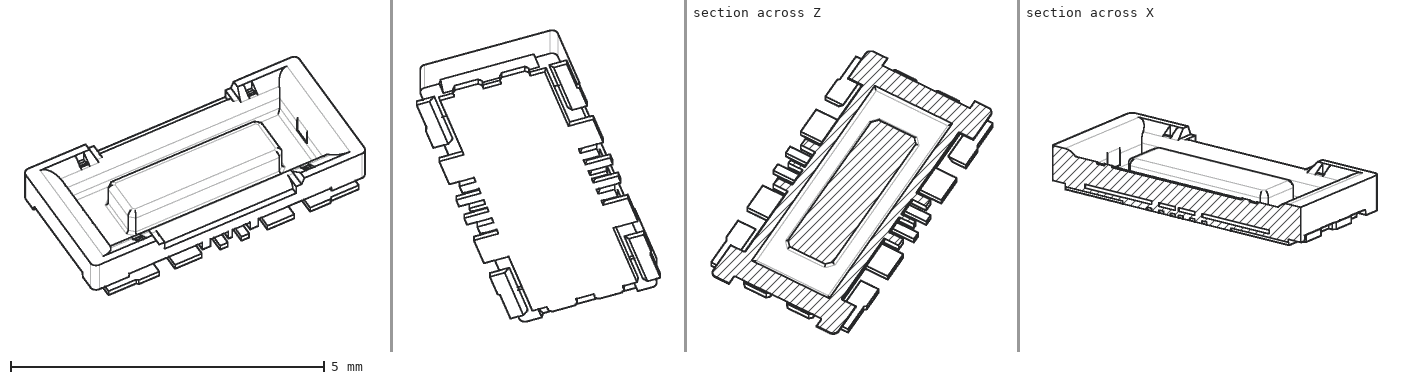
import cadquery as cq
import math

BODY_X = 2.32
BODY_Y = 5.0
HEIGHT = 0.7
SKIRT_Z = 0.1
CORNER_RADIUS = 0.1
HALF_X = BODY_X / 2
HALF_Y = BODY_Y / 2

BASE_BOTTOM_HALF_X = 0.884
BASE_TOP_HALF_X = 0.906
BASE_HALF_Y = 2.25
FLOOR_Z = 0.095

MOUTH_HALF_X = 1.032
MOUTH_HALF_Y = 2.253
WALL_X = 0.727
WALL_Y = 1.95
FLOOR_FILLET = 0.065
END_ROUND = MOUTH_HALF_Y - WALL_Y

END_RECESS_HALF_X = 0.16
END_RECESS_Y = 1.962
END_RECESS_BOTTOM = 0.19

RIDGE_RADIUS = 0.162
RIDGE_X = WALL_X + RIDGE_RADIUS
RIDGE_TOP = 0.575
RIDGE_Z = RIDGE_TOP - RIDGE_RADIUS
LEAD_IN_X = 0.828

NOTCH_BOTTOM_HALF_Y = 1.3
NOTCH_TOP_HALF_Y = 1.352
LEDGE_HALF_Y = 1.2

LATCH_Y = 1.535
LATCH_WIDTH = 0.15
LATCH_FLOOR_Z = 0.52
LATCH_FLOOR_X = 0.986
LATCH_CREST_OUTER_X = 0.9
LATCH_CREST_INNER_X = 0.863

ISLAND_HALF_X = 0.413
ISLAND_HALF_Y = 1.405
ISLAND_TOP = RIDGE_TOP
ISLAND_CHAMFER_X = 0.085
ISLAND_CHAMFER_Y = 0.095
ISLAND_FILLET = 0.1
ISLAND_FOOT_FILLET = 0.045

SLOT_TOP = 0.172
SIDE_SLOTS = [(0.036, 0.36), (0.51, 1.85)]
SLOT_BACK_TOP_X = 0.86

TERMINAL_TIP_X = 1.3
TERMINAL_Z = SKIRT_Z
SIGNAL_TERMINAL = (0.123, 0.266)
POWER_TERMINAL = (0.598, 1.09)
NAIL_START_Y = 1.377
NAIL_STEP_Y = 1.75
NAIL_END_Y = 2.286
NAIL_STEP = 0.033
NAIL_ROOT_BOTTOM_X = 1.048
NAIL_ROOT_TOP_X = 0.97

END_SLOT_TOP = 0.2
END_SLOT_TOP_HALF_X = 0.787
END_SLOT_BOTTOM_HALF_X = 0.81
END_SLOT_DEPTH = 0.2
END_TERMINAL_X = (0.15, 0.64)
END_TERMINAL_Z = 0.12
END_TERMINAL_TIP_Y = 2.37
END_TERMINAL_ROOT_Y = 2.1
END_TERMINAL_CHAMFER = 0.05


def box(x0, x1, y0, y1, z0, z1):
    return cq.Workplane("XY").box(x1 - x0, y1 - y0, z1 - z0, centered=False).translate((x0, y0, z0))


def along_y(profile, y0, y1):
    """Extrude a closed XZ profile from y0 to y1."""
    return profile.extrude(y0 - y1).translate((0, y0, 0))


def on_both_sides(shape):
    return shape.union(shape.mirror("YZ"))


def on_both_ends(shape):
    return shape.union(shape.mirror("XZ"))


def in_four_quadrants(shape):
    return on_both_ends(on_both_sides(shape))


def ridge_point(x):
    """Point on the upper half of the ridge circle."""
    return (x, RIDGE_Z + math.sqrt(RIDGE_RADIUS**2 - (x - RIDGE_X) ** 2))


def floor_corner(profile, wall):
    """Half profile from the centre line along the floor and up its fillet to the wall."""
    sweep = FLOOR_FILLET * math.sqrt(0.5)
    return (
        profile.moveTo(0, FLOOR_Z)
        .lineTo(wall - FLOOR_FILLET, FLOOR_Z)
        .threePointArc(
            (wall - FLOOR_FILLET + sweep, FLOOR_Z + FLOOR_FILLET - sweep),
            (wall, FLOOR_Z + FLOOR_FILLET),
        )
    )


def inner_wall(end_x):
    """Half cavity profile from the centre line up to the ridge and over it as far as end_x."""
    middle_x = (WALL_X + end_x) / 2
    return (
        floor_corner(cq.Workplane("XZ"), WALL_X)
        .lineTo(WALL_X, RIDGE_Z)
        .threePointArc(ridge_point(middle_x), ridge_point(end_x))
    )


def make_cavity():
    across = (
        inner_wall(LEAD_IN_X)
        .lineTo(MOUTH_HALF_X, HEIGHT)
        .lineTo(0, HEIGHT)
        .close()
    )
    across = on_both_sides(along_y(across, -HALF_Y, HALF_Y))

    sweep = END_ROUND * math.sqrt(0.5)
    round_z = HEIGHT - END_ROUND
    lengthwise = (
        floor_corner(cq.Workplane("YZ"), WALL_Y)
        .lineTo(WALL_Y, round_z)
        .threePointArc((MOUTH_HALF_Y - sweep, round_z + sweep), (MOUTH_HALF_Y, HEIGHT))
        .lineTo(0, HEIGHT)
        .close()
        .extrude(HALF_X, both=True)
    )
    return across.intersect(on_both_ends(lengthwise))


def make_end_recesses():
    half_x = END_RECESS_HALF_X
    recess = box(-half_x, half_x, ISLAND_HALF_Y, END_RECESS_Y, END_RECESS_BOTTOM, HEIGHT)
    return on_both_ends(recess)


def make_side_notch():
    """Lower the side walls to the ridge top, with sloped ends."""
    return (
        cq.Workplane("YZ")
        .polyline([
            (-NOTCH_BOTTOM_HALF_Y, RIDGE_TOP),
            (NOTCH_BOTTOM_HALF_Y, RIDGE_TOP),
            (NOTCH_TOP_HALF_Y, HEIGHT),
            (-NOTCH_TOP_HALF_Y, HEIGHT),
        ])
        .close()
        .extrude(HALF_X, both=True)
    )


def make_ridge_clearance():
    """Clear the space over the ridges, leaving an outer ledge along their middle."""
    over_crest = inner_wall(RIDGE_X).lineTo(RIDGE_X, HEIGHT).lineTo(0, HEIGHT).close()
    over_ledge = (
        inner_wall(RIDGE_X + RIDGE_RADIUS)
        .lineTo(HALF_X, RIDGE_Z)
        .lineTo(HALF_X, HEIGHT)
        .lineTo(0, HEIGHT)
        .close()
    )
    crest_half_y = NOTCH_BOTTOM_HALF_Y
    clearance = along_y(over_ledge, -LEDGE_HALF_Y, LEDGE_HALF_Y)
    clearance = clearance.union(on_both_ends(along_y(over_crest, LEDGE_HALF_Y, crest_half_y)))
    return on_both_sides(clearance)


def make_latch_pockets():
    profile = (
        cq.Workplane("XZ")
        .polyline([
            ridge_point(LEAD_IN_X),
            (LATCH_CREST_INNER_X, RIDGE_TOP),
            (LATCH_CREST_OUTER_X, RIDGE_TOP),
            (LATCH_FLOOR_X, LATCH_FLOOR_Z),
            (MOUTH_HALF_X, LATCH_FLOOR_Z),
            (MOUTH_HALF_X, HEIGHT),
            (LEAD_IN_X, HEIGHT),
        ])
        .close()
    )
    half_width = LATCH_WIDTH / 2
    return in_four_quadrants(along_y(profile, LATCH_Y - half_width, LATCH_Y + half_width))


def make_island():
    shoulder_x = ISLAND_HALF_X - ISLAND_CHAMFER_X
    shoulder_y = ISLAND_HALF_Y - ISLAND_CHAMFER_Y
    island = (
        cq.Workplane("XY")
        .polyline([
            (ISLAND_HALF_X, shoulder_y),
            (shoulder_x, ISLAND_HALF_Y),
            (-shoulder_x, ISLAND_HALF_Y),
            (-ISLAND_HALF_X, shoulder_y),
            (-ISLAND_HALF_X, -shoulder_y),
            (-shoulder_x, -ISLAND_HALF_Y),
            (shoulder_x, -ISLAND_HALF_Y),
            (ISLAND_HALF_X, -shoulder_y),
        ])
        .close()
        .extrude(ISLAND_TOP)
        .faces(">Z")
        .edges()
        .fillet(ISLAND_FILLET)
    )
    plate_half_x = ISLAND_HALF_X + 2 * ISLAND_FOOT_FILLET
    plate_half_y = ISLAND_HALF_Y + 2 * ISLAND_FOOT_FILLET
    plate = box(-plate_half_x, plate_half_x, -plate_half_y, plate_half_y, 0, FLOOR_Z)
    margin = ISLAND_FOOT_FILLET
    foot = cq.selectors.BoxSelector(
        (-ISLAND_HALF_X - margin, -ISLAND_HALF_Y - margin, FLOOR_Z - margin),
        (ISLAND_HALF_X + margin, ISLAND_HALF_Y + margin, FLOOR_Z + margin),
        boundingbox=True,
    )
    return plate.union(island).edges(foot).fillet(ISLAND_FOOT_FILLET)


def make_side_slots():
    profile = [
        (BASE_BOTTOM_HALF_X, 0),
        (BASE_TOP_HALF_X, SKIRT_Z),
        (SLOT_BACK_TOP_X, SLOT_TOP),
        (HALF_X, SLOT_TOP),
        (HALF_X, 0),
    ]
    slots = cq.Workplane("XY")
    for y0, y1 in SIDE_SLOTS:
        slots = slots.union(along_y(cq.Workplane("XZ").polyline(profile).close(), y0, y1))
    return in_four_quadrants(slots)


def make_end_slots():
    """Recess under each end wall; its ceiling falls towards the base."""
    ceiling = (
        cq.Workplane("YZ")
        .polyline([
            (HALF_Y, SKIRT_Z),
            (HALF_Y, END_SLOT_TOP),
            (HALF_Y - END_SLOT_DEPTH, SKIRT_Z),
        ])
        .close()
        .extrude(HALF_X, both=True)
    )
    opening = (
        cq.Workplane("XZ")
        .polyline([
            (-END_SLOT_BOTTOM_HALF_X, SKIRT_Z),
            (END_SLOT_BOTTOM_HALF_X, SKIRT_Z),
            (END_SLOT_TOP_HALF_X, END_SLOT_TOP),
            (-END_SLOT_TOP_HALF_X, END_SLOT_TOP),
        ])
        .close()
    )
    return on_both_ends(ceiling.intersect(along_y(opening, 0, HALF_Y)))


def make_side_terminals():
    terminals = cq.Workplane("XY")
    for y0, y1 in (SIGNAL_TERMINAL, POWER_TERMINAL):
        terminals = terminals.union(box(WALL_X, TERMINAL_TIP_X, y0, y1, 0, TERMINAL_Z))
    return in_four_quadrants(terminals)


def make_corner_nails():
    outline = (
        cq.Workplane("XY")
        .polyline([
            (BASE_TOP_HALF_X, NAIL_START_Y),
            (TERMINAL_TIP_X, NAIL_START_Y),
            (TERMINAL_TIP_X, NAIL_STEP_Y),
            (TERMINAL_TIP_X - NAIL_STEP, NAIL_STEP_Y + NAIL_STEP),
            (TERMINAL_TIP_X - NAIL_STEP, NAIL_END_Y),
            (BASE_TOP_HALF_X, NAIL_END_Y),
        ])
        .close()
        .extrude(TERMINAL_Z)
    )
    section = (
        cq.Workplane("XZ")
        .polyline([
            (NAIL_ROOT_BOTTOM_X, 0),
            (TERMINAL_TIP_X, 0),
            (TERMINAL_TIP_X, TERMINAL_Z),
            (NAIL_ROOT_TOP_X, TERMINAL_Z),
        ])
        .close()
    )
    return in_four_quadrants(outline.intersect(along_y(section, 0, HALF_Y)))


def make_end_terminals():
    x0, x1 = END_TERMINAL_X
    terminal = (
        box(x0, x1, END_TERMINAL_ROOT_Y, END_TERMINAL_TIP_Y, 0, END_TERMINAL_Z)
        .faces(">Y")
        .edges("|Z")
        .chamfer(END_TERMINAL_CHAMFER)
    )
    return in_four_quadrants(terminal)


def make_housing():
    walls = (
        box(-HALF_X, HALF_X, -HALF_Y, HALF_Y, SKIRT_Z, HEIGHT)
        .edges("|Z")
        .fillet(CORNER_RADIUS)
    )
    base = (
        cq.Workplane("XZ")
        .polyline([
            (-BASE_BOTTOM_HALF_X, 0),
            (BASE_BOTTOM_HALF_X, 0),
            (BASE_TOP_HALF_X, SKIRT_Z),
            (-BASE_TOP_HALF_X, SKIRT_Z),
        ])
        .close()
    )
    base = along_y(base, -BASE_HALF_Y, BASE_HALF_Y)
    feet_half_y = SIDE_SLOTS[1][0]
    feet = box(-HALF_X, HALF_X, -feet_half_y, feet_half_y, 0, SKIRT_Z)
    housing = walls.union(base).union(feet)
    for cutter in (
        make_cavity(),
        make_end_recesses(),
        make_side_notch(),
        make_ridge_clearance(),
        make_latch_pockets(),
        make_side_slots(),
        make_end_slots(),
    ):
        housing = housing.cut(cutter)
    return housing.union(make_island())


result = (
    make_housing()
    .union(make_side_terminals())
    .union(make_corner_nails())
    .union(make_end_terminals())
)